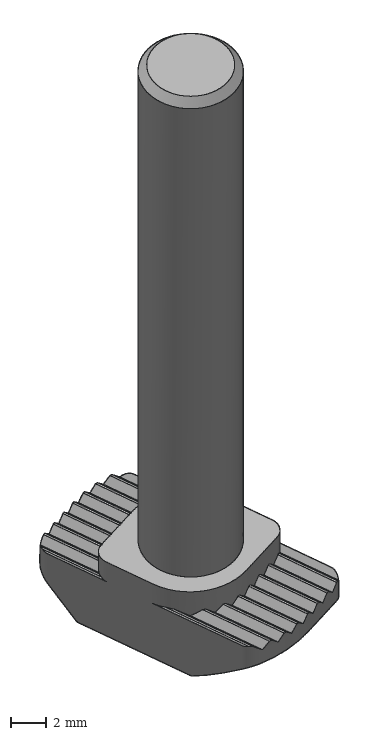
import cadquery as cq
import math

head_length = 16.0
head_width = 8.0
head_offset = 0.15
head_height = 4.5
head_corner_radius = 1.0
bevel_height = 3.0
collar_length = 8.0
collar_top = 6.0
collar_small_radius = 1.0
overall_height = 44.5
shaft_diameter = 6.0
shaft_chamfer = 0.5
tooth_pitch = 1.0
crest_land = 0.134

half_length = head_length / 2
front_y = -head_width / 2 - head_offset
back_y = head_width / 2 - head_offset
collar_large_radius = back_y
groove_width = tooth_pitch - crest_land
groove_depth = groove_width / 2
core_base = bevel_height


def head_profile(direction):
    """XZ outline of half the head, from the axis out to the end on the +X (1) or -X (-1) side."""
    points = [
        (0, 0),
        (direction * (half_length - bevel_height), 0),
        (direction * half_length, bevel_height),
        (direction * half_length, head_height),
        (0, head_height),
    ]
    return cq.Workplane("XZ").polyline(points).close()


def make_slab():
    """Rectangular block that encloses the head."""
    slab = cq.Workplane("XY").box(head_length, head_width, head_height, centered=(True, True, False))
    return slab.translate((0, -head_offset, 0))


def make_head():
    """T-head: round on the +X-Y and -X+Y quarters for turning in, square on the other two."""
    cone = head_profile(1).revolve(360, (0, 0), (0, 1))
    front_quarter = head_profile(-1).extrude(-front_y)
    back_quarter = head_profile(1).extrude(-back_y)
    return cone.intersect(make_slab()).union(front_quarter).union(back_quarter)


def make_head_plan():
    """Upright prism with the plan outline of the head, its four corners rounded."""
    disc = cq.Workplane("XY").circle(half_length).extrude(head_height)
    front_quarter = cq.Workplane("XY").rect(-half_length, front_y, centered=False).extrude(head_height)
    back_quarter = cq.Workplane("XY").rect(half_length, back_y, centered=False).extrude(head_height)
    plan = disc.intersect(make_slab()).union(front_quarter).union(back_quarter).clean()
    return plan.edges("|Z").fillet(head_corner_radius)


def cut_teeth(head):
    """V grooves along X over the whole top of the head, one crest crossing the shaft axis."""
    first_crest = math.floor(front_y / tooth_pitch)
    last_crest = math.ceil(back_y / tooth_pitch)
    for crest in range(first_crest, last_crest):
        valley_y = (crest + 0.5) * tooth_pitch
        groove = (
            cq.Workplane("YZ", origin=(-half_length, 0, 0))
            .moveTo(valley_y - groove_width / 2, head_height)
            .lineTo(valley_y, head_height - groove_depth)
            .lineTo(valley_y + groove_width / 2, head_height)
            .close()
            .extrude(head_length)
        )
        head = head.cut(groove)
    return head


def make_collar():
    """Collar between head and shaft: two opposite corners widely rounded, two slightly."""
    height = collar_top - core_base
    collar = cq.Workplane("XY").box(collar_length, head_width, height, centered=(True, True, False))
    collar = collar.translate((0, -head_offset, core_base))
    collar = collar.edges("|Z").edges(">(1, 1, 0) or <(1, 1, 0)").fillet(collar_small_radius)
    return collar.edges("|Z").edges(">(1, -1, 0) or <(1, -1, 0)").fillet(collar_large_radius)


def make_shaft():
    """Round shaft with a chamfered free end."""
    shaft = cq.Workplane("XY", origin=(0, 0, core_base)).circle(shaft_diameter / 2)
    shaft = shaft.extrude(overall_height - core_base)
    return shaft.faces(">Z").chamfer(shaft_chamfer)


head = cut_teeth(make_head().intersect(make_head_plan()))
result = head.union(make_collar()).union(make_shaft())